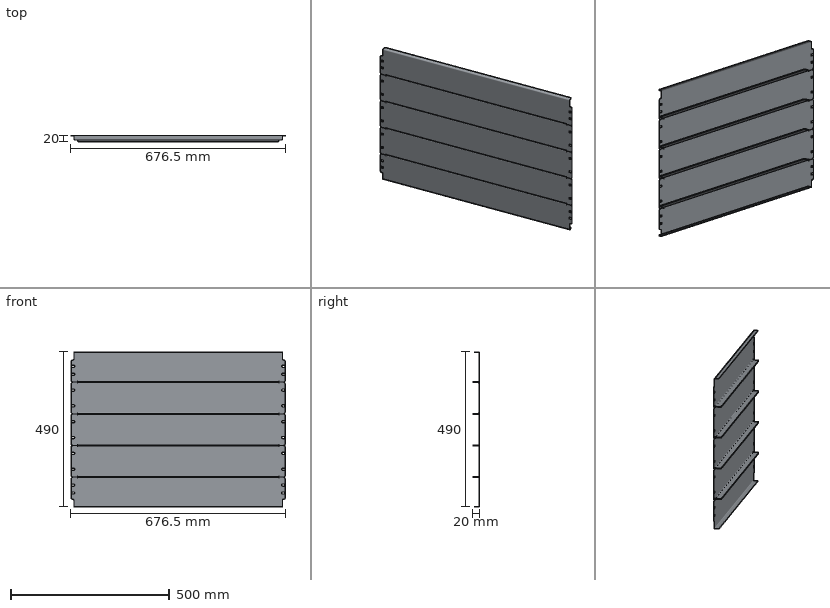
import cadquery as cq
import math


sheet = 1.5
bend_outer = 3.0
bend_inner = bend_outer - sheet

panel_width = 676.5
total_height = 490.0
middle_height = 100.0
middle_count = 3
end_height = (total_height - middle_count * middle_height) / 2
corner_radius = 6.0

joint_inset = 20.0
joint_width = panel_width - 2 * joint_inset
joint_depth = 20.0
flange_radius = 5.0

notch_depth = 8.5
notch_height = 25.0
notch_radius = 3.0
notch_corner_radius = 5.0

outer_width = panel_width - 2 * notch_depth
outer_depth = 15.0

slot_length = 10.0
slot_height = 6.0
slot_inset = 6.0
slot_pitch = 25.0


def flat_sheet(height):
    """Rectangular sheet standing on Z = 0, back face on Y = 0."""
    return (
        cq.Workplane("XZ")
        .rect(panel_width, height)
        .extrude(sheet)
        .translate((0, 0, height / 2))
    )


def slots(rows):
    """Cutters for a pair of slots, one at each side, at every height in rows."""
    slot_x = panel_width / 2 - slot_inset
    points = [(side * slot_x, row) for side in (-1, 1) for row in rows]
    return cq.Workplane("XZ").pushPoints(points).slot2D(slot_length, slot_height).extrude(sheet)


def lower_flange(width, depth):
    """Flange along Z = 0 with its bend, which ends in the sheet at Z = bend_outer."""
    diagonal = math.cos(math.radians(45))
    outer_middle = bend_outer * (1 - diagonal)
    inner_middle = bend_outer - bend_inner * diagonal
    return (
        cq.Workplane("YZ")
        .moveTo(0, bend_outer)
        .threePointArc((-outer_middle, outer_middle), (-bend_outer, 0))
        .lineTo(-depth, 0)
        .lineTo(-depth, sheet)
        .lineTo(-bend_outer, sheet)
        .threePointArc((-inner_middle, inner_middle), (-sheet, bend_outer))
        .close()
        .extrude(width / 2, both=True)
        .edges("|Z and <Y")
        .fillet(flange_radius)
    )


def add_lower_flange(panel, width, depth):
    """Replace the lowest strip of the sheet by a bent flange."""
    strip = cq.Workplane("XY").box(width, 2 * sheet, 2 * bend_outer)
    return panel.cut(strip).union(lower_flange(width, depth))


def turn_over(panel, height):
    """Swap the upper and lower edges of a panel."""
    return panel.mirror("XY").translate((0, 0, height))


def middle_panel():
    """Panel with a joint flange along both edges."""
    panel = flat_sheet(middle_height).edges("|Y").fillet(corner_radius)
    panel = panel.cut(slots([slot_pitch, middle_height - slot_pitch]))
    panel = add_lower_flange(panel, joint_width, joint_depth)
    panel = turn_over(panel, middle_height)
    return add_lower_flange(panel, joint_width, joint_depth)


def end_panel():
    """End panel with its outer flange at Z = 0 and its joint flange at the top."""
    panel = flat_sheet(end_height)
    for side in (-1, 1):
        notch = cq.Workplane("XY").box(2 * notch_depth, 2 * sheet, 2 * notch_height)
        notch = notch.edges("|Y").fillet(notch_radius)
        panel = panel.cut(notch.translate((side * panel_width / 2, 0, 0)))
    panel = panel.edges("|Y and >Z").fillet(corner_radius)
    panel = panel.edges("|Y and (<X or >X)").fillet(notch_corner_radius)
    panel = panel.cut(slots([end_height - slot_pitch, end_height - 2 * slot_pitch]))
    panel = add_lower_flange(panel, outer_width, outer_depth)
    panel = turn_over(panel, end_height)
    panel = add_lower_flange(panel, joint_width, joint_depth)
    return turn_over(panel, end_height)


stack_bottom = -total_height / 2
middle_bottom = stack_bottom + end_height
middle_top = middle_bottom + middle_count * middle_height

bottom_panel = end_panel().translate((0, 0, stack_bottom))
top_panel = turn_over(end_panel(), end_height).translate((0, 0, middle_top))

middle_panels = []
for index in range(middle_count):
    panel_bottom = middle_bottom + index * middle_height
    middle_panels.append(middle_panel().translate((0, 0, panel_bottom)))

result = cq.Compound.makeCompound(
    [bottom_panel.val(), *[panel.val() for panel in middle_panels], top_panel.val()]
)